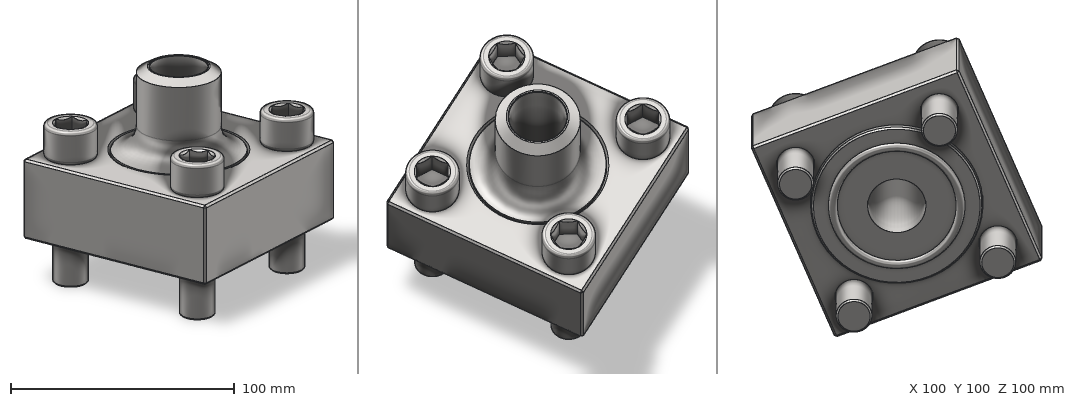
import cadquery as cq
import math

TOTAL_HEIGHT = 100.0
FLANGE_SIDE = 100.0
FLANGE_THICKNESS = 38.0
FLANGE_BOTTOM = 22.0
FLANGE_TOP = FLANGE_BOTTOM + FLANGE_THICKNESS
FLANGE_EDGE_CHAMFER = 1.0

BOLT_CIRCLE_DIAMETER = 98.0
SCREW_COUNT = 4
SCREW_FIRST_ANGLE = 45.0
SCREW_DIAMETER = 16.0
SCREW_HOLE_DIAMETER = 17.0
SCREW_TIP_CHAMFER = 0.8
HEAD_DIAMETER = 24.0
HEAD_HEIGHT = SCREW_DIAMETER
HEAD_FILLET = 1.6
SOCKET_ACROSS_FLATS = 14.0
SOCKET_ACROSS_CORNERS = SOCKET_ACROSS_FLATS / math.cos(math.radians(30))
SOCKET_DEPTH = 11.0
SOCKET_COUNTERSINK_SLOPE = 45.0

BORE_DIAMETER = 26.0
TUBE_DIAMETER = 38.0
BORE_MOUTH_CHAMFER = 0.3
TUBE_TIP_DIAMETER = 28.0
TUBE_BEVEL_SLOPE = 30.0
BODY_DIAMETER = 61.0
COLLAR_DIAMETER = 76.0
COLLAR_CHAMFER = 0.8
NECK_BOTTOM = 20.0
COLLAR_SHOULDER = 36.0

FLANGE_BORE_DIAMETER = 61.5
FLANGE_BORE_CHAMFER = 1.0
FLANGE_RECESS_DIAMETER = 77.0

SEAL_INNER_DIAMETER = 53.0
SEAL_THICKNESS = 4.0
SEAL_OUTER_DIAMETER = SEAL_INNER_DIAMETER + 2 * SEAL_THICKNESS
SEAL_PROTRUSION = 1.4
SEAL_GROOVE_DEPTH = SEAL_THICKNESS - SEAL_PROTRUSION


def cylinder(diameter, bottom, top):
    """Vertical cylinder on the Z axis."""
    return cq.Workplane("XY").workplane(offset=bottom).circle(diameter / 2).extrude(top - bottom)


def make_flange():
    """Square flange with a stepped centre hole and four screw holes."""
    block = (
        cq.Workplane("XY")
        .workplane(offset=FLANGE_BOTTOM)
        .rect(FLANGE_SIDE, FLANGE_SIDE)
        .extrude(FLANGE_THICKNESS)
        .edges()
        .chamfer(FLANGE_EDGE_CHAMFER)
    )
    bore = cylinder(FLANGE_BORE_DIAMETER, FLANGE_BOTTOM, FLANGE_TOP)
    bored_block = block.cut(bore).faces(">Z").edges("%CIRCLE").chamfer(FLANGE_BORE_CHAMFER)
    recess = cylinder(FLANGE_RECESS_DIAMETER, FLANGE_BOTTOM, COLLAR_SHOULDER)
    screw_holes = (
        cq.Workplane("XY")
        .workplane(offset=FLANGE_BOTTOM)
        .polarArray(BOLT_CIRCLE_DIAMETER / 2, SCREW_FIRST_ANGLE, 360, SCREW_COUNT)
        .circle(SCREW_HOLE_DIAMETER / 2)
        .extrude(FLANGE_THICKNESS)
    )
    return bored_block.cut(recess).cut(screw_holes)


def make_neck():
    """Revolved weld neck with a bevelled and chamfered tip, a cove and a collar grooved for the seal."""
    bore_radius = BORE_DIAMETER / 2
    tube_radius = TUBE_DIAMETER / 2
    body_radius = BODY_DIAMETER / 2
    collar_radius = COLLAR_DIAMETER / 2
    tip_radius = TUBE_TIP_DIAMETER / 2
    bevel_height = (tube_radius - tip_radius) * math.tan(math.radians(TUBE_BEVEL_SLOPE))
    cove_radius = body_radius - tube_radius
    cove_top = FLANGE_TOP + cove_radius
    cove_offset = cove_radius * math.sin(math.radians(45))
    cove_middle = (body_radius - cove_offset, cove_top - cove_offset)

    profile = (
        cq.Workplane("XZ")
        .moveTo(bore_radius, NECK_BOTTOM)
        .lineTo(collar_radius - COLLAR_CHAMFER, NECK_BOTTOM)
        .lineTo(collar_radius, NECK_BOTTOM + COLLAR_CHAMFER)
        .lineTo(collar_radius, COLLAR_SHOULDER)
        .lineTo(body_radius, COLLAR_SHOULDER)
        .lineTo(body_radius, FLANGE_TOP)
        .threePointArc(cove_middle, (tube_radius, cove_top))
        .lineTo(tube_radius, TOTAL_HEIGHT - bevel_height)
        .lineTo(tip_radius, TOTAL_HEIGHT)
        .lineTo(bore_radius + BORE_MOUTH_CHAMFER, TOTAL_HEIGHT)
        .lineTo(bore_radius, TOTAL_HEIGHT - BORE_MOUTH_CHAMFER)
        .close()
    )
    body = profile.revolve(360, (0, 0, 0), (0, 1, 0))
    groove_top = NECK_BOTTOM + SEAL_GROOVE_DEPTH
    groove = cylinder(SEAL_OUTER_DIAMETER, NECK_BOTTOM, groove_top).cut(
        cylinder(SEAL_INNER_DIAMETER, NECK_BOTTOM, groove_top)
    )
    return body.cut(groove)


def make_seal():
    """Round-section seal ring standing slightly proud of the neck's bottom face."""
    section_radius = SEAL_THICKNESS / 2
    centre_radius = SEAL_INNER_DIAMETER / 2 + section_radius
    centre_height = NECK_BOTTOM - SEAL_PROTRUSION + section_radius
    section = cq.Workplane("XZ").center(centre_radius, centre_height).circle(section_radius)
    return section.revolve(360, (-centre_radius, 0, 0), (-centre_radius, 1, 0))


def make_screw():
    """Socket head cap screw on the Z axis, its head resting on the flange."""
    head_top = FLANGE_TOP + HEAD_HEIGHT
    shank = cylinder(SCREW_DIAMETER, 0, FLANGE_TOP).faces("<Z").chamfer(SCREW_TIP_CHAMFER)
    head = cylinder(HEAD_DIAMETER, FLANGE_TOP, head_top).edges().fillet(HEAD_FILLET)
    socket = (
        cq.Workplane("XY")
        .workplane(offset=head_top)
        .polygon(6, SOCKET_ACROSS_CORNERS)
        .extrude(-SOCKET_DEPTH)
    )
    countersink_radius = SOCKET_ACROSS_CORNERS / 2
    countersink_depth = countersink_radius * math.tan(math.radians(SOCKET_COUNTERSINK_SLOPE))
    countersink = cq.Workplane(
        cq.Solid.makeCone(0, countersink_radius, countersink_depth, pnt=cq.Vector(0, 0, head_top - countersink_depth))
    )
    return head.union(shank).cut(socket).cut(countersink)


def make_screws():
    """One screw per flange hole, each turned with its place on the bolt circle."""
    corner = BOLT_CIRCLE_DIAMETER / 2 * math.cos(math.radians(SCREW_FIRST_ANGLE))
    first_screw = make_screw().translate((corner, corner, 0))
    screws = []
    for index in range(SCREW_COUNT):
        turn = index * 360 / SCREW_COUNT
        screws.append(first_screw.rotate((0, 0, 0), (0, 0, 1), turn))
    return screws


flange = make_flange()
neck = make_neck()
seal = make_seal()
screws = make_screws()

result = cq.Compound.makeCompound(
    [flange.val(), neck.val(), seal.val(), *[screw.val() for screw in screws]]
)